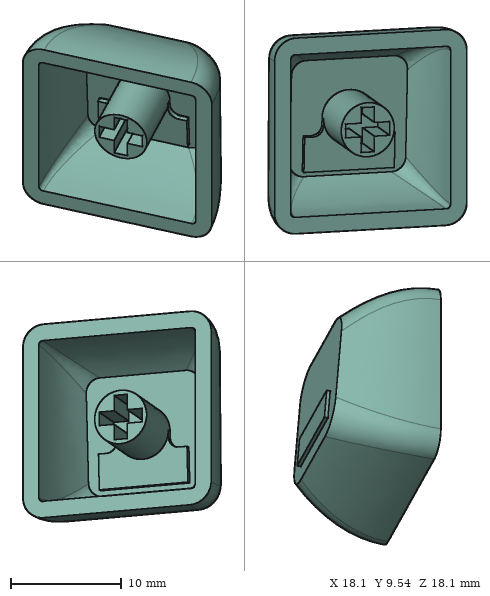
import cadquery as cq
import math

BASE_SIDE = 18.1
BASE_CORNER = 2.01
TOP_SIDE = 12.67
TOP_CORNER = 2.66
TOP_HEIGHT = 8.87
TOP_TILT = 4.2

MOUTH_SIDE = 15.02
MOUTH_CORNER = 0.4
FLOOR_SIDE = 10.91
FLOOR_CORNER = 1.32
ROOF_THICKNESS = 1.5
FLOOR_HEIGHT = TOP_HEIGHT - ROOF_THICKNESS

LOFT_STEPS = 4

STEM_DIAMETER = 5.0
STEM_START = 1.0
CROSS_LENGTH = 4.15
CROSS_ARM = 1.27
CROSS_DEPTH = 4.0

PLATE_WIDTH = 8.5
PLATE_TOP = -1.63
PLATE_BOTTOM = -4.92
PLATE_THICKNESS = 0.52
NECK_FILLET = 1.0
PAD_WIDTH = 8.29
PAD_TOP = -1.7
PAD_BOTTOM = -4.69
PAD_RISE = 0.33


def tilted_plane(height, tilt):
    """Plane crossing the stem axis at the given height; it faces the open rim, with local y up Z."""
    angle = math.radians(tilt)
    normal = (0, -math.cos(angle), -math.sin(angle))
    return cq.Plane(origin=(0, height, 0), xDir=(1, 0, 0), normal=normal)


def domed_block(start_side, start_corner, end_side, end_corner, height):
    """Loft that leaves the base plane square to it and curves inward as a parabola."""
    outlines = []
    for step in range(LOFT_STEPS + 1):
        rise = step / LOFT_STEPS
        bend = rise**2
        side = start_side + (end_side - start_side) * bend
        corner = start_corner + (end_corner - start_corner) * bend
        plane = tilted_plane(height * rise, TOP_TILT * bend)
        outline = cq.Sketch().rect(side, side).vertices().fillet(corner)
        outlines.append(outline.moved(plane.location))
    return cq.Workplane("XY").placeSketch(*outlines).loft()


def make_stem():
    """Round post from its free end to the cavity floor."""
    post = cq.Workplane("XZ", origin=(0, STEM_START, 0)).circle(STEM_DIAMETER / 2).extrude(-TOP_HEIGHT)
    above_floor = (
        cq.Workplane(tilted_plane(FLOOR_HEIGHT, TOP_TILT)).rect(BASE_SIDE, BASE_SIDE).extrude(-TOP_HEIGHT)
    )
    return post.cut(above_floor)


def make_plate():
    """Rectangular plate with a neck that runs into the stem through two concave fillets."""
    half_plate = PLATE_WIDTH / 2
    half_neck = STEM_DIAMETER / 2
    neck_end = PLATE_TOP + NECK_FILLET
    fillet_end = half_neck + NECK_FILLET
    sag = NECK_FILLET * (1 - math.sqrt(0.5))
    return (
        cq.Workplane(tilted_plane(FLOOR_HEIGHT, TOP_TILT))
        .moveTo(-half_plate, PLATE_BOTTOM)
        .lineTo(half_plate, PLATE_BOTTOM)
        .lineTo(half_plate, PLATE_TOP)
        .lineTo(fillet_end, PLATE_TOP)
        .threePointArc((half_neck + sag, PLATE_TOP + sag), (half_neck, neck_end))
        .lineTo(half_neck, 0)
        .lineTo(-half_neck, 0)
        .lineTo(-half_neck, neck_end)
        .threePointArc((-half_neck - sag, PLATE_TOP + sag), (-fillet_end, PLATE_TOP))
        .lineTo(-half_plate, PLATE_TOP)
        .close()
        .extrude(PLATE_THICKNESS)
    )


def make_legend_pad():
    """Plain raised pad that reaches from the plate through the roof."""
    return (
        cq.Workplane(tilted_plane(FLOOR_HEIGHT, TOP_TILT))
        .center(0, (PAD_TOP + PAD_BOTTOM) / 2)
        .rect(PAD_WIDTH, PAD_TOP - PAD_BOTTOM)
        .extrude(-(ROOF_THICKNESS + PAD_RISE))
    )


def make_cross_socket():
    """Cross-shaped blind hole in the free end of the stem."""
    end_face = cq.Workplane("XZ", origin=(0, STEM_START, 0))
    across = end_face.rect(CROSS_LENGTH, CROSS_ARM).extrude(-CROSS_DEPTH)
    upright = end_face.rect(CROSS_ARM, CROSS_LENGTH).extrude(-CROSS_DEPTH)
    return across.union(upright)


insert = make_stem().union(make_plate()).union(make_legend_pad()).cut(make_cross_socket())

cap = (
    domed_block(BASE_SIDE, BASE_CORNER, TOP_SIDE, TOP_CORNER, TOP_HEIGHT)
    .cut(domed_block(MOUTH_SIDE, MOUTH_CORNER, FLOOR_SIDE, FLOOR_CORNER, FLOOR_HEIGHT))
    .cut(make_legend_pad())
)

result = cq.Compound.makeCompound([cap.val(), insert.val()])